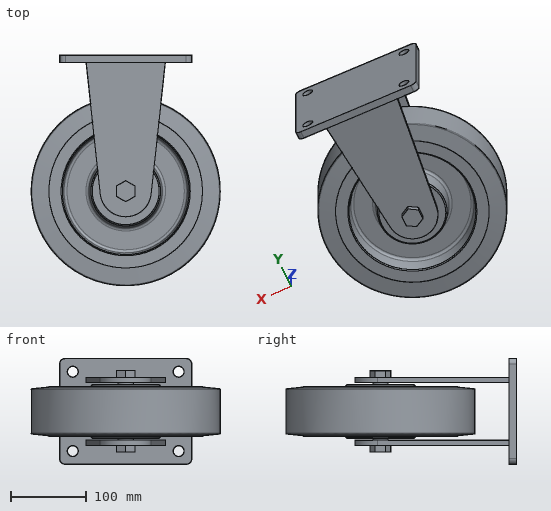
import cadquery as cq
import math


plate_width = 175.0
plate_height = 140.0
plate_thickness = 10.0
plate_back_y = 180.0
plate_front_y = plate_back_y - plate_thickness
plate_corner_radius = 7.5
bolt_hole_diameter = 14.0
bolt_spacing_x = 140.0
bolt_spacing_z = 105.0

leg_inner_z = 38.0
leg_thickness = 7.0
leg_outer_z = leg_inner_z + leg_thickness
leg_root_half_width = 52.5
leg_end_radius = 34.0

axle_diameter = 20.0
head_across_flats = 24.0
head_height = 8.8
head_top_z = leg_outer_z + head_height

tread_radius = 125.0
tread_inner_radius = 101.5
tread_edge_z = 30.0
tread_edge_round = 1.2

rim_face_z = 33.0
rim_step = 0.5
rim_mouth_radius = 85.5
rim_mouth_chamfer = 1.5
pocket_base_radius = 81.0
web_half_thickness = 6.0
base_fillet = 4.0
hub_base_radius = 49.0
hub_top_radius = 46.0
hub_face_z = 35.7
hub_edge_chamfer = 1.8


def make_plate():
    centre_y = plate_back_y - plate_thickness / 2
    plate = (
        cq.Workplane("XY")
        .box(plate_width, plate_thickness, plate_height)
        .edges("|Y")
        .fillet(plate_corner_radius)
    )
    plate = (
        plate.faces("<Y")
        .workplane(centerOption="CenterOfBoundBox")
        .rect(bolt_spacing_x, bolt_spacing_z, forConstruction=True)
        .vertices()
        .hole(bolt_hole_diameter)
    )
    return plate.translate((0, centre_y, 0))


def make_leg(bottom_z):
    """Tapered leg whose straight sides run tangent into its round end."""
    root_distance = math.hypot(leg_root_half_width, plate_front_y)
    root_angle = math.atan2(plate_front_y, leg_root_half_width)
    tangent_angle = root_angle - math.acos(leg_end_radius / root_distance)
    tangent_x = leg_end_radius * math.cos(tangent_angle)
    tangent_y = leg_end_radius * math.sin(tangent_angle)
    return (
        cq.Workplane("XY", origin=(0, 0, bottom_z))
        .moveTo(-leg_root_half_width, plate_front_y)
        .lineTo(-tangent_x, tangent_y)
        .threePointArc((0, -leg_end_radius), (tangent_x, tangent_y))
        .lineTo(leg_root_half_width, plate_front_y)
        .close()
        .extrude(leg_thickness)
    )


def make_axle():
    axle = cq.Workplane("XY").circle(axle_diameter / 2).extrude(leg_outer_z, both=True)
    across_corners = head_across_flats / math.cos(math.radians(30))
    for bottom_z in (leg_outer_z, -head_top_z):
        head = (
            cq.Workplane("XY", origin=(0, 0, bottom_z))
            .transformed(rotate=(0, 0, 90))
            .polygon(6, across_corners)
            .extrude(head_height)
        )
        axle = axle.union(head)
    return axle


def make_wheel():
    half = (
        cq.Workplane("XZ")
        .lineTo(tread_radius, 0)
        .lineTo(tread_radius, tread_edge_z)
        .lineTo(tread_inner_radius, rim_face_z - rim_step)
        .lineTo(tread_inner_radius, rim_face_z)
        .lineTo(rim_mouth_radius, rim_face_z)
        .lineTo(rim_mouth_radius - rim_mouth_chamfer, rim_face_z - rim_mouth_chamfer)
        .lineTo(pocket_base_radius, web_half_thickness)
        .lineTo(hub_base_radius, web_half_thickness)
        .lineTo(hub_top_radius, hub_face_z - hub_edge_chamfer)
        .lineTo(hub_top_radius - hub_edge_chamfer, hub_face_z)
        .lineTo(0, hub_face_z)
        .close()
        .revolve(360, (0, 0, 0), (0, 1, 0))
    )
    web_floor = half.faces("|Z").faces(">Z[-3]")
    half = web_floor.edges().fillet(base_fillet)
    half = half.faces("%CYLINDER").faces("<Z").edges(">Z").fillet(tread_edge_round)
    return half.union(half.mirror("XY"))


result = make_plate().union(make_axle()).union(make_wheel())
for bottom_z in (leg_inner_z, -leg_outer_z):
    result = result.union(make_leg(bottom_z))